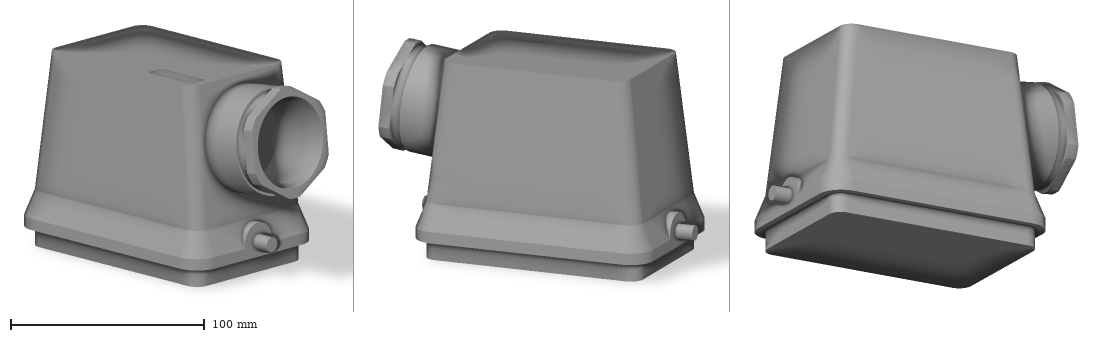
import cadquery as cq
import math

overall_length = 168.5

skirt_top = 10.3
flange_edge_top = 16.3
shoulder_top = 30.0
hood_height = 105.1

skirt_length = 121.1
skirt_width = 78.8
corner_radius = 7.0
flange_overhang = 5.5
flange_length = skirt_length + 2 * flange_overhang
flange_width = skirt_width + 2 * flange_overhang
flange_corner_radius = corner_radius + flange_overhang
roof_length = 104.1
roof_width = 71.1

pin_height = 18.5
pin_diameter = 8.0
pin_projection = 9.8
pad_radius = 10.0
pad_embed = 10.1
pin_length = flange_length + 2 * pin_projection

shoulder_face_z = 74.5
sleeve_diameter = 57.0
sleeve_length = 30.3
neck_diameter = 54.0
neck_length = 5.4
nut_across_flats = 54.0
nut_corner_diameter = 58.6
nut_thickness = 6.2
bore_diameter = 48.0
bore_depth = 33.7
gland_tilt = math.atan2((skirt_length - roof_length) / 2, hood_height - shoulder_top)
gland_tip_x = overall_length - pin_length / 2
nut_overhang_x = (neck_length + nut_thickness) * math.cos(gland_tilt)
nut_rim_x = nut_corner_diameter / 2 * math.sin(gland_tilt)
shoulder_face_x = gland_tip_x - nut_overhang_x - nut_rim_x

label_length = 32.0
label_width = 10.8
label_corner_radius = 2.5
label_x = 31.2
label_y = -24.8
label_depth = 0.3


def rounded_section(length, width, radius):
    """Rounded rectangle centred on the origin."""
    return cq.Sketch().rect(length, width).vertices().fillet(radius)


def straight_block(section, bottom, top):
    """Upright block with the given (length, width, radius)."""
    base = cq.Workplane("XY", origin=(0, 0, bottom))
    return base.placeSketch(rounded_section(*section)).extrude(top - bottom)


def tapered_block(lower, upper, bottom, top):
    """Ruled block between two sections given as (length, width, radius)."""
    upper_sketch = rounded_section(*upper).moved(cq.Location(cq.Vector(0, 0, top - bottom)))
    base = cq.Workplane("XY", origin=(0, 0, bottom))
    return base.placeSketch(rounded_section(*lower), upper_sketch).loft(ruled=True)


def hood_body():
    skirt = (skirt_length, skirt_width, corner_radius)
    flange = (flange_length, flange_width, flange_corner_radius)
    roof = (roof_length, roof_width, corner_radius)
    body = straight_block(skirt, 0, skirt_top)
    body = body.union(straight_block(flange, skirt_top, flange_edge_top))
    body = body.union(tapered_block(flange, skirt, flange_edge_top, shoulder_top))
    return body.union(tapered_block(skirt, roof, shoulder_top, hood_height))


def pin_pads():
    """Round-topped pads around the pins, flush with the flange at both ends."""
    end_x = flange_length / 2
    pad_base = flange_edge_top
    pad_top = pin_height + pad_radius
    pad = (
        cq.Workplane("YZ", origin=(-end_x, 0, 0))
        .moveTo(-pad_radius, pad_base)
        .lineTo(-pad_radius, pin_height)
        .threePointArc((0, pad_top), (pad_radius, pin_height))
        .lineTo(pad_radius, pad_base)
        .close()
        .extrude(pad_embed)
    )
    return pad.union(pad.mirror("YZ"))


def pins():
    return (
        cq.Workplane("YZ", origin=(-pin_length / 2, 0, pin_height))
        .circle(pin_diameter / 2)
        .extrude(pin_length)
    )


def gland_plane(offset):
    """Plane across the gland axis, offset outward from the end of the sleeve."""
    axis = cq.Vector(math.cos(gland_tilt), 0, math.sin(gland_tilt))
    origin = cq.Vector(shoulder_face_x, 0, shoulder_face_z) + axis * offset
    return cq.Workplane(cq.Plane(origin, xDir=(0, 1, 0), normal=axis))


def gland():
    sleeve = gland_plane(-sleeve_length).circle(sleeve_diameter / 2).extrude(sleeve_length)
    neck = gland_plane(0).circle(neck_diameter / 2).extrude(neck_length)
    hexagon_diameter = nut_across_flats / math.cos(math.pi / 6)
    nut = gland_plane(neck_length).transformed(rotate=(0, 0, 90)).polygon(6, hexagon_diameter)
    nut = nut.extrude(nut_thickness)
    nut = nut.intersect(gland_plane(neck_length).circle(nut_corner_diameter / 2).extrude(nut_thickness))
    return sleeve.union(neck).union(nut)


def gland_bore():
    mouth = neck_length + nut_thickness
    return gland_plane(mouth).circle(bore_diameter / 2).extrude(-bore_depth)


def label_recess():
    label = (label_length, label_width, label_corner_radius)
    recess = straight_block(label, hood_height - label_depth, hood_height)
    return recess.translate((label_x, label_y, 0))


result = hood_body().union(pin_pads()).union(pins()).union(gland())
result = result.cut(gland_bore()).cut(label_recess())